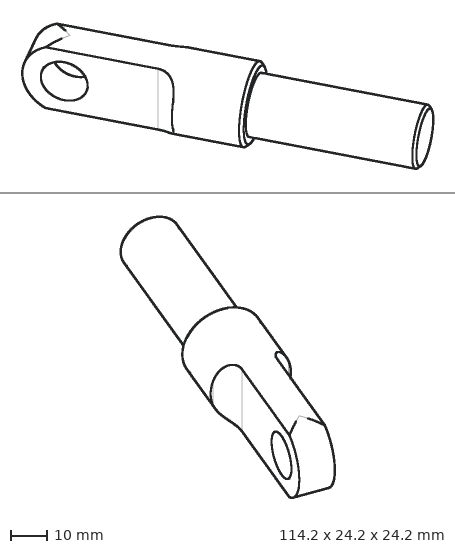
import cadquery as cq

total_length = 114.2
body_diameter = 24.2
body_end = 65.4
body_chamfer = 1.0
shank_diameter = 18.0
shank_chamfer = 0.9
tang_thickness = 10.7
eye_hole_diameter = 13.5

body_radius = body_diameter / 2
half_tang = tang_thickness / 2
shoulder_radius = 6.0
tang_flat_end = 39.0
shoulder_x = tang_flat_end + shoulder_radius


def make_rod():
    """Body and shank as coaxial cylinders with chamfered free ends."""
    body = cq.Workplane("YZ").circle(body_radius).extrude(body_end)
    body = body.faces(">X").chamfer(body_chamfer)
    shank = (
        cq.Workplane("YZ", origin=(body_end, 0, 0))
        .circle(shank_diameter / 2)
        .extrude(total_length - body_end)
        .faces(">X")
        .chamfer(shank_chamfer)
    )
    return body.union(shank)


def make_side_relief():
    """Material removed on the +Y side to leave the flat tang and its shoulder."""
    return (
        cq.Workplane("XY")
        .moveTo(0, half_tang)
        .lineTo(tang_flat_end, half_tang)
        .radiusArc((shoulder_x, half_tang + shoulder_radius), -shoulder_radius)
        .lineTo(shoulder_x, body_radius)
        .lineTo(0, body_radius)
        .close()
        .extrude(body_radius, both=True)
    )


def make_end_envelope():
    """Full-length block whose eye end is rounded about the hole axis."""
    return (
        cq.Workplane("XZ")
        .moveTo(body_radius, body_radius)
        .threePointArc((0, 0), (body_radius, -body_radius))
        .lineTo(total_length, -body_radius)
        .lineTo(total_length, body_radius)
        .close()
        .extrude(body_radius, both=True)
    )


relief = make_side_relief()
eye_hole = (
    cq.Workplane("XZ")
    .center(body_radius, 0)
    .circle(eye_hole_diameter / 2)
    .extrude(body_radius, both=True)
)

result = (
    make_rod()
    .cut(relief)
    .cut(relief.mirror("XZ"))
    .intersect(make_end_envelope())
    .cut(eye_hole)
)